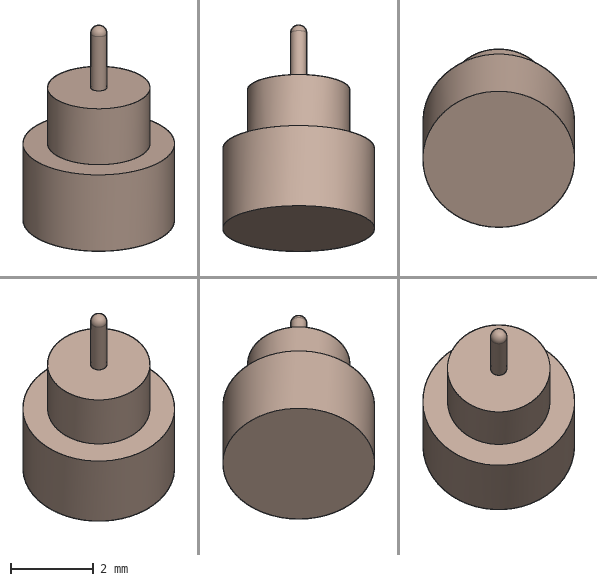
import cadquery as cq

total_height = 5.2
base_diameter = 3.7
base_height = 2.05
collar_diameter = 2.5
collar_height = 1.5
pin_diameter = 0.4

pin_radius = pin_diameter / 2
collar_top = base_height + collar_height
pin_length = total_height - collar_top


def make_body():
    """Wide base with a narrower collar on top, resting on Z = 0."""
    base = cq.Workplane("XY").circle(base_diameter / 2).extrude(base_height)
    return base.faces(">Z").workplane().circle(collar_diameter / 2).extrude(collar_height)


def make_pin():
    """Contact pin rising from the collar, ending in a hemisphere."""
    shank_length = pin_length - pin_radius
    shank = cq.Workplane("XY").workplane(offset=collar_top).circle(pin_radius).extrude(shank_length)
    tip = cq.Workplane("XY").sphere(pin_radius).translate((0, 0, total_height - pin_radius))
    return shank.union(tip)


result = make_body().union(make_pin())